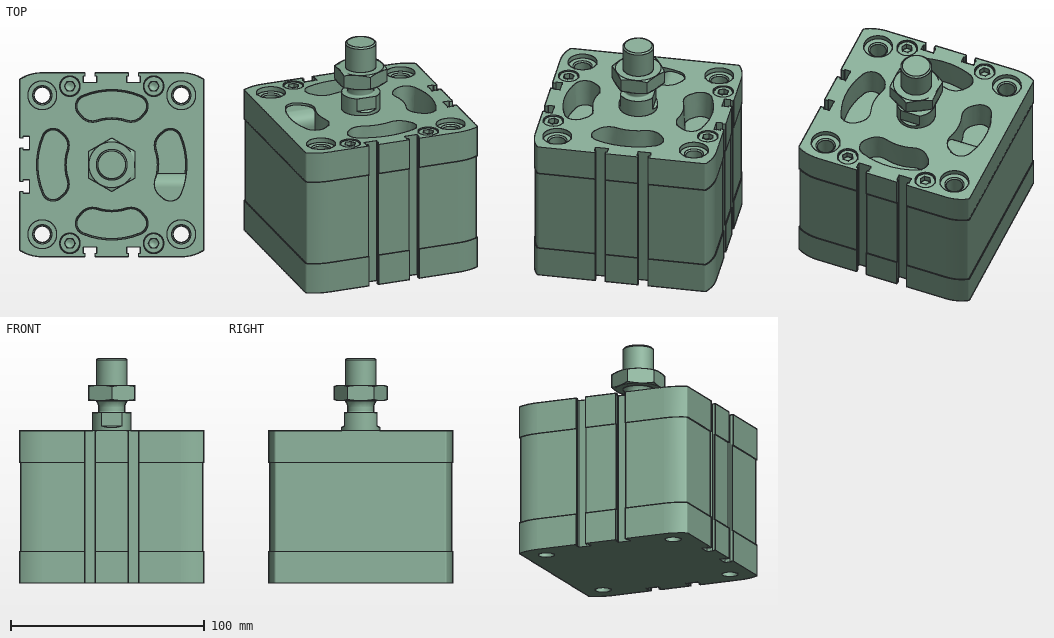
import cadquery as cq
import math

body_side = 95.5
total_height = 116.4
rod_reach = 37.4
body_height = total_height - rod_reach
cap_height = 16.5
barrel_side = 94.5
corner_radius = 22
edge_radius = 1.2

hole_spacing = 72
counterbore_diameter = 15
counterbore_depth = 2.5
countersink_diameter = 10
thread_diameter = 8.57
through_diameter = 8.38

screw_x = 21.7
screw_y = 40.7
screw_recess_diameter = 10.7
screw_recess_depth = 1.5
screw_head_diameter = 10
screw_face_diameter = 9
screw_face_drop = 0.3
socket_width = 5
socket_depth = 3
socket_cone_angle = 140

slot_offset = 11.25
slot_mouth_width = 5.1
slot_chamfer = 0.25
slot_inner_width = 6.8
slot_lip = 1.8
slot_depth = 5.1

pocket_outer_radius = 39
pocket_inner_radius = 23.6
pocket_outer_end_radius = 6
pocket_inner_end_radius = 8
pocket_outer_end_angle = 22.9
pocket_inner_end_angle = 18.3
pocket_depth = 14.5
pocket_draft = 3

shelf_drop = 1.2
shelf_edge_y = -4.5
shelf_radius = 7.2

rod_diameter = 20
rod_shoulder = 9.3
rod_socket_depth = cap_height
rod_flat_width = 17
rod_flat_bottom = 2.4
rod_flat_slope = 30
neck_diameter = 13.5
neck_fillet = 0.8
neck_top = 12.1
thread_end_diameter = 16
undercut_top = 15.3
tip_diameter = 14.38

nut_width = 24
nut_height = 8
nut_bottom = 15.5
nut_face_diameter = 23.7
nut_chamfer_angle = 18


def polar(radius, angle):
    """Point at an angle in degrees from +X."""
    return (radius * math.cos(math.radians(angle)), radius * math.sin(math.radians(angle)))


def body_block(side, bottom, height):
    """Square block with T-slots, whose +Y and -Y sides curve in towards the corners."""
    half = side / 2
    arc_start = half - corner_radius
    arc_centre_x = hole_spacing / 2
    reach = half - arc_centre_x
    arc_end_y = arc_start + math.sqrt(corner_radius**2 - reach**2)
    mid_angle = (90 + math.degrees(math.acos(reach / corner_radius))) / 2
    mid_x, mid_y = polar(corner_radius, mid_angle)
    mid = (arc_centre_x + mid_x, arc_start + mid_y)

    outline = (
        cq.Workplane("XY", origin=(0, 0, bottom))
        .moveTo(-arc_centre_x, half)
        .lineTo(arc_centre_x, half)
        .threePointArc(mid, (half, arc_end_y))
        .lineTo(half, -arc_end_y)
        .threePointArc((mid[0], -mid[1]), (arc_centre_x, -half))
        .lineTo(-arc_centre_x, -half)
        .threePointArc((-mid[0], -mid[1]), (-half, -arc_end_y))
        .lineTo(-half, arc_end_y)
        .threePointArc((-mid[0], mid[1]), (-arc_centre_x, half))
        .close()
    )
    block = outline.extrude(height).edges("|Z and (>X or <X)").fillet(edge_radius)

    slot = t_slot(half, bottom, height)
    for slotted_side in (0, 90, 180):
        for offset in (-slot_offset, slot_offset):
            placed = slot.translate((offset, 0, 0)).rotate((0, 0, 0), (0, 0, 1), slotted_side)
            block = block.cut(placed)
    return block


def t_slot(face_y, bottom, height):
    """T-slot on the Y axis with its chamfered mouth in the face at face_y."""
    mouth = slot_mouth_width / 2
    inner = slot_inner_width / 2
    lip_y = body_side / 2 - slot_lip
    floor_y = body_side / 2 - slot_depth
    return (
        cq.Workplane("XY", origin=(0, 0, bottom))
        .polyline([
            (mouth + slot_chamfer, face_y),
            (mouth, face_y - slot_chamfer),
            (mouth, lip_y),
            (inner, lip_y),
            (inner, floor_y),
            (-inner, floor_y),
            (-inner, lip_y),
            (-mouth, lip_y),
            (-mouth, face_y - slot_chamfer),
            (-mouth - slot_chamfer, face_y),
        ])
        .close()
        .extrude(height)
    )


def pocket_outline(plane, inset):
    """Kidney outline on the +X side, moved inwards by the inset."""
    outer_radius = pocket_outer_radius - inset
    inner_radius = pocket_inner_radius + inset
    outer_end_radius = pocket_outer_end_radius - inset
    inner_end_radius = pocket_inner_end_radius - inset
    outer_end = polar(outer_radius - outer_end_radius, pocket_outer_end_angle)
    inner_end = polar(inner_radius + inner_end_radius, pocket_inner_end_angle)
    across_x = outer_end[0] - inner_end[0]
    across_y = outer_end[1] - inner_end[1]
    lean = math.acos((inner_end_radius - outer_end_radius) / math.hypot(across_x, across_y))
    normal_angle = math.degrees(math.atan2(across_y, across_x) + lean)

    def arc_point(centre, radius, angle):
        x, y = polar(radius, angle)
        return (centre[0] + x, centre[1] + y)

    def mirrored(point):
        return (point[0], -point[1])

    outer_tangent = polar(outer_radius, pocket_outer_end_angle)
    outer_mid = arc_point(outer_end, outer_end_radius, (pocket_outer_end_angle + normal_angle) / 2)
    line_start = arc_point(outer_end, outer_end_radius, normal_angle)
    line_stop = arc_point(inner_end, inner_end_radius, normal_angle)
    inner_mid = arc_point(inner_end, inner_end_radius, (normal_angle + pocket_inner_end_angle + 180) / 2)
    inner_tangent = polar(inner_radius, pocket_inner_end_angle)
    return (
        plane
        .moveTo(*mirrored(outer_tangent))
        .threePointArc((outer_radius, 0), outer_tangent)
        .threePointArc(outer_mid, line_start)
        .lineTo(*line_stop)
        .threePointArc(inner_mid, inner_tangent)
        .threePointArc((inner_radius, 0), mirrored(inner_tangent))
        .threePointArc(mirrored(inner_mid), mirrored(line_stop))
        .lineTo(*mirrored(line_start))
        .threePointArc(mirrored(outer_mid), mirrored(outer_tangent))
        .close()
    )


def pocket():
    """Kidney pocket on the +X side, with drafted walls."""
    floor_inset = pocket_depth * math.tan(math.radians(pocket_draft))
    rim = pocket_outline(cq.Workplane("XY"), 0)
    return pocket_outline(rim.workplane(offset=-pocket_depth), floor_inset).loft(ruled=True)


def shelf():
    """Block with a rounded upper edge that raises one end of a pocket's floor."""
    return (
        cq.Workplane("XY")
        .box(pocket_outer_radius, pocket_outer_radius, pocket_depth, centered=False)
        .edges("|X and >Y and >Z")
        .fillet(shelf_radius)
        .translate((0, shelf_edge_y - pocket_outer_radius, -shelf_drop - pocket_depth))
    )


def mounting_hole():
    """Counterbored and countersunk hole through the housing."""
    sink_depth = counterbore_depth + (countersink_diameter - thread_diameter) / 2
    return (
        cq.Workplane("XZ")
        .polyline([
            (0, 0),
            (counterbore_diameter / 2, 0),
            (counterbore_diameter / 2, -counterbore_depth),
            (countersink_diameter / 2, -counterbore_depth),
            (thread_diameter / 2, -sink_depth),
            (thread_diameter / 2, -cap_height),
            (through_diameter / 2, -cap_height),
            (through_diameter / 2, -body_height),
            (0, -body_height),
        ])
        .close()
        .revolve(360, (0, 0), (0, 1))
    )


def screw_recess():
    """Space around and above a screw head, with its hexagon socket."""
    head_round = (screw_head_diameter - screw_face_diameter) / 2
    head = (
        cq.Workplane("XY", origin=(0, 0, -screw_recess_depth))
        .circle(screw_head_diameter / 2)
        .extrude(screw_recess_depth - screw_face_drop)
        .faces(">Z").edges().fillet(head_round)
    )
    socket_corner_diameter = socket_width / math.cos(math.radians(30))
    socket_top = -screw_face_drop
    socket_floor = socket_top - socket_depth
    cone_depth = socket_width / 2 / math.tan(math.radians(socket_cone_angle / 2))
    hexagon = (
        cq.Workplane("XY", origin=(0, 0, socket_top))
        .polygon(6, socket_corner_diameter)
        .extrude(-socket_depth)
    )
    tip = cq.Solid.makeCone(0, socket_width / 2, cone_depth, cq.Vector(0, 0, socket_floor - cone_depth))
    ring = cq.Workplane("XY").circle(screw_recess_diameter / 2).extrude(-screw_recess_depth).cut(head)
    return ring.union(hexagon).union(cq.Workplane(tip))


def make_housing():
    barrel_height = body_height - 2 * cap_height
    body = body_block(body_side, -cap_height, cap_height)
    body = body.union(body_block(barrel_side, -cap_height - barrel_height, barrel_height))
    body = body.union(body_block(body_side, -body_height, cap_height))

    kidney = pocket()
    body = body.cut(kidney.cut(shelf()))
    for angle in (90, 180, 270):
        body = body.cut(kidney.rotate((0, 0, 0), (0, 0, 1), angle))

    for x_side in (-1, 1):
        for y_side in (-1, 1):
            hole_place = (x_side * hole_spacing / 2, y_side * hole_spacing / 2, 0)
            body = body.cut(mounting_hole().translate(hole_place))
            body = body.cut(screw_recess().translate((x_side * screw_x, y_side * screw_y, 0)))

    return body.cut(cq.Workplane("XY").circle(rod_diameter / 2).extrude(-rod_socket_depth))


def make_rod():
    shank = rod_diameter / 2
    neck = neck_diameter / 2
    thread = thread_end_diameter / 2
    tip = tip_diameter / 2
    undercut_rise = undercut_top - neck_top
    undercut_step = thread - neck
    undercut_radius = (undercut_rise**2 + undercut_step**2) / (2 * undercut_step)
    half_sweep = math.asin(undercut_rise / undercut_radius) / 2
    undercut_mid = (
        neck + undercut_radius * (1 - math.cos(half_sweep)),
        neck_top + undercut_radius * math.sin(half_sweep),
    )
    fillet_mid_offset = neck_fillet * (1 - math.sqrt(0.5))
    rod = (
        cq.Workplane("XZ")
        .moveTo(0, -rod_socket_depth)
        .lineTo(shank, -rod_socket_depth)
        .lineTo(shank, rod_shoulder)
        .lineTo(neck + neck_fillet, rod_shoulder)
        .threePointArc(
            (neck + fillet_mid_offset, rod_shoulder + fillet_mid_offset),
            (neck, rod_shoulder + neck_fillet),
        )
        .lineTo(neck, neck_top)
        .threePointArc(undercut_mid, (thread, undercut_top))
        .lineTo(thread, rod_reach - (thread - tip))
        .lineTo(tip, rod_reach)
        .lineTo(0, rod_reach)
        .close()
        .revolve(360, (0, 0), (0, 1))
    )

    flat = rod_flat_width / 2
    runout = (shank - flat) * math.tan(math.radians(rod_flat_slope))
    flat_cut = (
        cq.Workplane("YZ")
        .polyline([
            (flat, rod_shoulder),
            (flat, rod_flat_bottom),
            (shank, rod_flat_bottom - runout),
            (shank, rod_shoulder),
        ])
        .close()
        .extrude(shank, both=True)
    )
    return rod.cut(flat_cut).cut(flat_cut.mirror("XZ"))


def make_nut():
    corner = nut_width / 2 / math.cos(math.radians(30))
    face = nut_face_diameter / 2
    chamfer = (corner - face) * math.tan(math.radians(nut_chamfer_angle))
    hexagon = cq.Workplane("XY").polygon(6, 2 * corner).extrude(nut_height)
    hexagon = hexagon.rotate((0, 0, 0), (0, 0, 1), 30)
    envelope = (
        cq.Workplane("XZ")
        .polyline([
            (0, 0),
            (face, 0),
            (corner, chamfer),
            (corner, nut_height - chamfer),
            (face, nut_height),
            (0, nut_height),
        ])
        .close()
        .revolve(360, (0, 0), (0, 1))
    )
    bore = cq.Workplane("XY").circle(thread_end_diameter / 2).extrude(nut_height)
    return hexagon.intersect(envelope).cut(bore).translate((0, 0, nut_bottom))


housing = make_housing()
rod = make_rod()
nut = make_nut()

result = cq.Compound.makeCompound([housing.val(), rod.val(), nut.val()])